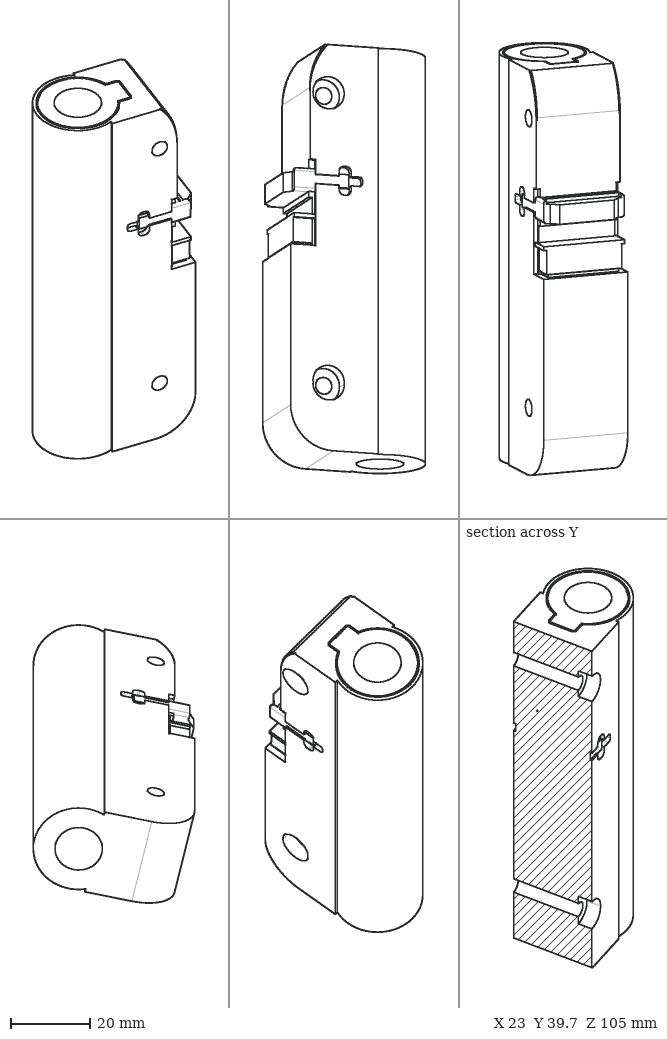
import cadquery as cq
import math

width = 23.0
depth = 39.7
length = 105.0

barrel_radius = width / 2
bore_radius = 6.0

half_width = width / 2
body_front = 4.2
body_back = 22.4
top_arc_radius = 17.8
top_arc_start = 93.7
rim_arc_start = 92.9
rim_width = 0.3

cover_back = 27.5
cover_top = 52.8
cover_corner_radius = 11.2

liner_radius = 10.2
key_half_width = 3.7
key_back = 13.0
key_corner_radius = 0.4
seam_width = 0.37
seam_depth = 0.5

screw_y = 17.4
screw_diameter = 4.3
counterbore_diameter = 8.3
counterbore_depth = 4.0
upper_screw_z = 92.5
lower_screw_z = 17.5
lower_counterbore_height = 8.9

notch_front = 20.8
notch_top = 75.1
module_half_width = 10.4
module_low_back = 21.4
module_step_z = 65.4

cap_half_width = 11.0
cap_overhang = 0.79
terminal_half_width = cap_half_width - cap_overhang
terminal_back = 26.5
neck_half_width = 9.7
neck_back = 25.8
neck_top = 53.7
cap_bottom = 60.0
cap_top = 61.0

latch_half_width = cap_half_width
latch_bottom = 66.9
tip_top = 71.9
shoulder_top = 72.9
shoulder_back = 26.4
shoulder_round = 0.8
tip_back = depth - barrel_radius
tip_half_width = 7.5
tip_recess_front = 24.6
clearance_front = 23.5
clearance_width = 0.3
clearance_depth = 0.5

arm_middle_z = 70.0
arm_height = 2.4
arm_end = 11.9
hook_back = 14.6
hook_height = 3.5
pocket_depth = 1.6
slot_end = 8.4
window_front = 11.4
window_height = 7.5
window_corner = 1.4
slot_corner = 0.8


def block(half_x, y_front, y_back, z_low, z_high):
    """Box centred on X between the given Y and Z limits."""
    return cq.Workplane("XY").box(
        2 * half_x, y_back - y_front, z_high - z_low, centered=(True, False, False)
    ).translate((0, y_front, z_low))


def on_both_sides(shape):
    """The shape together with its mirror image across the YZ plane."""
    return shape.union(shape.mirror("YZ"))


def make_body_slab(half_x, arc_start):
    """Slab whose upper back corner is an arc, tangent to the back and cut off by the top."""
    arc_centre_y = body_back - top_arc_radius
    top_rise = length - arc_start

    def arc_point(rise):
        return arc_centre_y + math.sqrt(top_arc_radius**2 - rise**2), arc_start + rise

    return (
        cq.Workplane("YZ")
        .moveTo(body_front, 0)
        .lineTo(body_back, 0)
        .lineTo(body_back, arc_start)
        .threePointArc(arc_point(top_rise / 2), arc_point(top_rise))
        .lineTo(body_front, length)
        .close()
        .extrude(half_x, both=True)
    )


def make_body():
    """Body with the arc set slightly lower along thin rims at both sides."""
    body = make_body_slab(half_width, rim_arc_start)
    return body.union(make_body_slab(half_width - rim_width, top_arc_start))


def make_cover():
    """Cover block; its rounded lower corner also trims the body."""
    cover = block(half_width, body_front, cover_back, 0, cover_top)
    return cover.edges("|X and >Y and <Z").fillet(cover_corner_radius)


def liner_outline(offset):
    """Top of the round keyed liner, grown outwards by an offset."""
    disc = cq.Workplane("XY").circle(liner_radius + offset).extrude(seam_depth)
    key = block(key_half_width + offset, 0, key_back + offset, 0, seam_depth)
    key = key.edges("|Z and >Y").fillet(key_corner_radius + offset)
    return disc.union(key).translate((0, 0, length - seam_depth))


def make_screw_hole(z, counterbore_height):
    """Through hole along X with a counterbore, possibly elongated in Z, on the -X side."""
    hole = cq.Workplane("YZ").center(screw_y, z).circle(screw_diameter / 2).extrude(half_width, both=True)
    stretch = (counterbore_height - counterbore_diameter) / 2
    for shift in (-stretch, stretch):
        counterbore = (
            cq.Workplane("YZ", origin=(-half_width, screw_y, z + shift))
            .circle(counterbore_diameter / 2)
            .extrude(counterbore_depth)
        )
        hole = hole.union(counterbore)
    return hole


def make_terminal():
    """Terminal with a recessed neck below and an overhanging cap above."""
    neck = block(neck_half_width, notch_front, neck_back, cover_top, neck_top)
    core = block(terminal_half_width, notch_front, terminal_back, neck_top, cap_bottom)
    cap = block(cap_half_width, notch_front, terminal_back, cap_bottom, cap_top)
    return neck.union(core).union(cap)


def make_latch():
    """Shoulder with a clearance groove on top, and a thumb tip with 45 degree flanks."""
    shoulder = block(latch_half_width, notch_front, shoulder_back, latch_bottom, shoulder_top)
    shoulder = shoulder.edges("|Y or (|X and >Y and >Z)").fillet(shoulder_round)
    root_half_width = latch_half_width - shoulder_round
    recess = block(root_half_width, tip_recess_front, shoulder_back, tip_top, shoulder_top)
    root_y = tip_back - (root_half_width - tip_half_width)
    clearance = block(
        root_half_width,
        clearance_front,
        clearance_front + clearance_width,
        shoulder_top - clearance_depth,
        shoulder_top,
    )
    tip = (
        cq.Workplane("XY", origin=(0, 0, latch_bottom))
        .polyline(
            [
                (-root_half_width, notch_front),
                (-root_half_width, root_y),
                (-tip_half_width, tip_back),
                (tip_half_width, tip_back),
                (root_half_width, root_y),
                (root_half_width, notch_front),
            ]
        )
        .close()
        .extrude(tip_top - latch_bottom)
    )
    return shoulder.cut(recess).cut(clearance).union(tip)


def make_arm_pockets():
    """Round-ended slot and taller window sunk into both side faces."""
    pocket_floor = half_width - pocket_depth
    arm_low = arm_middle_z - arm_height / 2
    window_low = arm_middle_z - window_height / 2
    slot = (
        cq.Workplane("XY")
        .box(pocket_depth, body_back - slot_end, arm_height, centered=False)
        .translate((pocket_floor, slot_end, arm_low))
        .edges("|X and <Y")
        .fillet(slot_corner)
    )
    window = (
        cq.Workplane("XY")
        .box(pocket_depth, hook_back - window_front, window_height, centered=False)
        .translate((pocket_floor, window_front, window_low))
        .edges("|X")
        .fillet(window_corner)
    )
    return on_both_sides(slot.union(window))


def make_arms():
    """Arms running forward from the latch, each ending in a taller hook."""
    arm_floor = half_width - pocket_depth
    arm_thickness = latch_half_width - arm_floor
    arm = (
        cq.Workplane("XY")
        .box(arm_thickness, body_back - arm_end, arm_height, centered=False)
        .translate((arm_floor, arm_end, arm_middle_z - arm_height / 2))
    )
    hook = (
        cq.Workplane("XY")
        .box(arm_thickness, hook_back - arm_end, hook_height, centered=False)
        .translate((arm_floor, arm_end, arm_middle_z - hook_height / 2))
    )
    return on_both_sides(arm.union(hook))


cover = make_cover()
envelope = cover.union(block(half_width, 0, cover_back, cover_top, length))
body = make_body().intersect(envelope)
barrel = cq.Workplane("XY").circle(barrel_radius).extrude(length)
part = body.union(cover).union(barrel)

part = part.cut(block(half_width, notch_front, body_back, cover_top, notch_top))
part = part.union(block(module_half_width, notch_front, module_low_back, cover_top, module_step_z))
part = part.union(block(module_half_width, notch_front, body_back, module_step_z, notch_top))
part = part.union(make_terminal()).union(make_latch())
part = part.cut(make_arm_pockets()).union(make_arms())

part = part.cut(cq.Workplane("XY").circle(bore_radius).extrude(length))
part = part.cut(liner_outline(seam_width).cut(liner_outline(0)))
part = part.cut(make_screw_hole(upper_screw_z, counterbore_diameter))
part = part.cut(make_screw_hole(lower_screw_z, lower_counterbore_height))

result = part